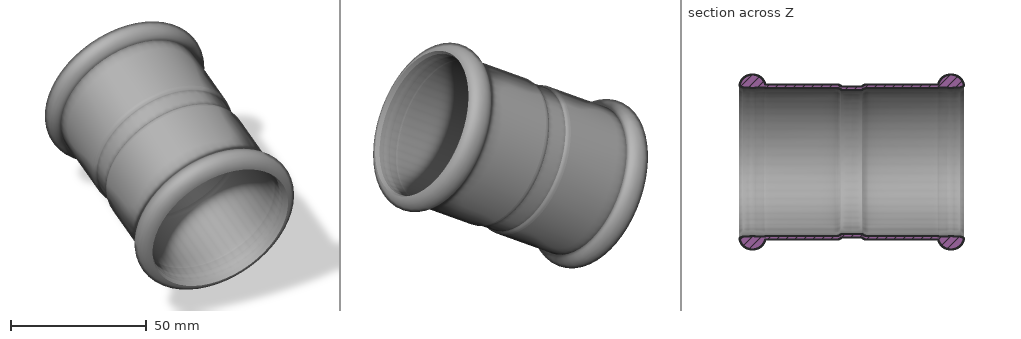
import cadquery as cq
import math

length = 83.0
half_length = length / 2
wall = 1.5

tube_radius = 57.5 / 2
waist_radius = 56.0 / 2
socket_radius = tube_radius - wall
waist_bore_radius = waist_radius - wall
shoulder_start = 35.7
shoulder_end = 37.7

bead_outer_radius = 64.7 / 2
bead_width = 9.9
bead_radius = bead_width / 2
bead_center_radius = bead_outer_radius - bead_radius

mouth_radius = 56.0 / 2
lip_radius = 54.7 / 2
lip_depth = 1.6
lip_end = 9.2
seal_width = 2.8
seal_start = bead_radius - seal_width / 2
seal_end = bead_radius + seal_width / 2


def bead_offset(radius):
    """Axial distance from the bead center to its surface at a given radius."""
    return math.sqrt(bead_radius**2 - (radius - bead_center_radius) ** 2)


def shoulder_middle(start_radius, end_radius):
    """Point halfway along a shoulder arc that leaves the sleeve tangentially."""
    run = shoulder_end - shoulder_start
    drop = start_radius - end_radius
    arc_radius = (run**2 + drop**2) / (2 * drop)
    half_angle = math.asin(run / arc_radius) / 2
    x = shoulder_start + arc_radius * math.sin(half_angle)
    return x, start_radius - arc_radius * (1 - math.cos(half_angle))


def half_profile():
    """Wall section from the open end at X = 0 to the middle plane."""
    bead_center = bead_offset(mouth_radius)
    bead_end = bead_center + bead_offset(tube_radius)
    return (
        cq.Workplane("XY")
        .moveTo(0, mouth_radius)
        .threePointArc((bead_center, bead_outer_radius), (bead_end, tube_radius))
        .lineTo(shoulder_start, tube_radius)
        .threePointArc(shoulder_middle(tube_radius, waist_radius), (shoulder_end, waist_radius))
        .lineTo(half_length, waist_radius)
        .lineTo(half_length, waist_bore_radius)
        .lineTo(shoulder_end, waist_bore_radius)
        .threePointArc(
            shoulder_middle(socket_radius, waist_bore_radius), (shoulder_start, socket_radius)
        )
        .lineTo(bead_width, socket_radius)
        .lineTo(lip_end, lip_radius)
        .lineTo(seal_end, lip_radius)
        .threePointArc((bead_radius, socket_radius), (seal_start, lip_radius))
        .lineTo(lip_depth, lip_radius)
        .close()
    )


half = half_profile().revolve(360, (0, 0, 0), (1, 0, 0)).translate((-half_length, 0, 0))
result = half.union(half.mirror("YZ")).clean()